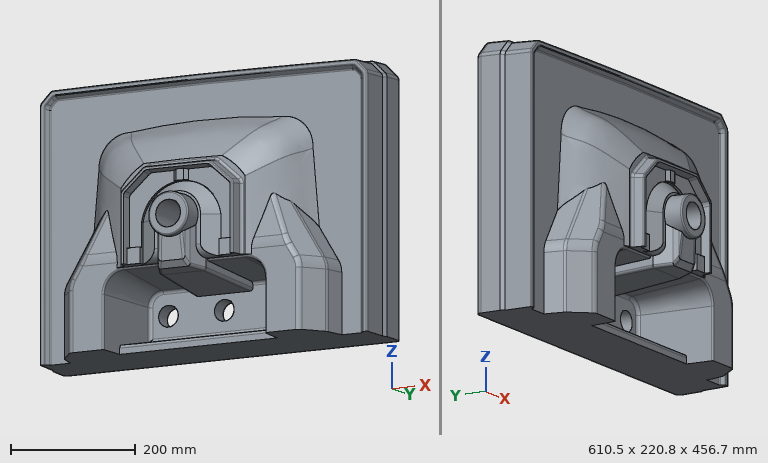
import cadquery as cq
import math


WIDTH = 610.51
HEIGHT = 456.71
TOTAL_DEPTH = 220.8
PAST = 10.0
EMBED = 1.0

RIM_BOW = 2.5
RIM_CORNER = 25.0
RIM_CORNER_RADIUS = 10.0
RIM_EDGE_RADIUS = 9.0
RIM_DRAFT = 0.045
SKIRT_DEPTH = 100.0
RIM_WALL = [
    (0.0, -RIM_DRAFT * RIM_EDGE_RADIUS),
    (45.0, RIM_DRAFT * (45.0 - RIM_EDGE_RADIUS)),
    (52.0, 5.5),
    (SKIRT_DEPTH, 8.0),
]
SKIRT_EDGE_RADIUS = 2.0
PLATE_DEPTH = 92.0
PLATE_INSET = 22.0
SKIRT_INNER_INSET = 16.0
PLATE_EDGE_RADIUS = 3.0

BOWL_DEPTH = 170.0
BOWL_BOTTOM = 131.0
BOWL_FOOT_HALF = 212.0
BOWL_WALL = [(0.0, 0.0), (0.08, 0.08), (0.33, 0.23), (0.63, 0.49), (0.82, 0.74), (1.0, 1.0)]

LEG_FACE_DEPTH = 165.5
LEG_RIDGE_DEPTH = 127.0
LEG_HALF_BASE = 247.0
LEG_HALF_RIDGE = 239.0
LEG_HALF_FACE = 208.0
LEG_BEND_HEIGHT = 113.0
LEG_BEND_RADIUS = 40.0
LEG_TOP = 243.0
LEG_LEAN = 79.0
SLOPE_START = 149.0
SLOPE_RUN = 95.0
SLOPE_FALL = 21.0
SLOPE_RADIUS = 85.0
LEG_EDGE_RADIUS = 12.0

DECK_DEPTH = 30.0
RECESS_HALF_WIDTH = 147.0
RECESS_TOP = 127.5
RECESS_RADIUS = 37.0
RECESS_DRAFT = 5.0
MOUTH_RADIUS = 3.0
LIP_DEPTH = 118.0
LIP_EDGE_HEIGHT = 15.0
LIP_ROOT_HEIGHT = 34.0
LIP_RADIUS = 6.0
TAP_HOLE_RADIUS = 17.7
TAP_HOLE_PITCH = 101.5
TAP_HOLE_HEIGHT = 74.0

FRAME_DEPTH = 191.0
FRAME_HALF_WIDTH = 102.0
FRAME_TOP = 286.0
FRAME_BOTTOM = BOWL_BOTTOM
FRAME_CORNER_X = 42.0
FRAME_CORNER_Z = 37.0
FRAME_WALL = 5.0
FRAME_DRAFT = 0.18
FRAME_CORNER_RADIUS = 10.0
FRAME_FOOT_RADIUS = 5.0
FRAME_EDGE_RADIUS = 2.0
FRAME_FLOOR_DEPTH = 176.0
PAD_HEIGHT = 6.0
PAD_TOP = 158.0
RIB_HEIGHT = 5.0
RIB_HALF_BASE = 13.0
RIB_HALF_TOP = 7.0

DRAIN_HEIGHT = 199.5
DRAIN_BORE_RADIUS = 22.5
DRAIN_ROOT_RADIUS = 38.0
DRAIN_END_RADIUS = 36.0
DRAIN_EDGE_RADIUS = 2.5
MOUND_HALF_WIDTH = 72.0
MOUND_RISE = 61.0
MOUND_TOP_RADIUS = 42.0
MOUND_ROOT_DEPTH = 171.0
MOUND_TOP_DEPTH = 189.0
MOUND_BROW_RADIUS = 20.0
FIN_EDGE_RADIUS = 5.0
FIN_SECTIONS = [
    (DECK_DEPTH, 52.0, 101.0),
    (170.0, 42.0, 111.0),
    (200.0, 29.0, 114.0),
    (208.0, 24.0, 125.0),
    (212.0, 21.0, 171.0),
]


def at_depth(depth):
    """Sketch plane parallel to the rim face, with X to the right, Z up and normal -Y."""
    return cq.Workplane("XZ", origin=(0, -depth, 0))


def nearest(point):
    return cq.selectors.NearestToPointSelector(point)


def loft(wires, ruled):
    return cq.Workplane(obj=cq.Solid.makeLoft(wires, ruled))


def rim_outline(depth, inset, bottom=0.0):
    half = WIDTH / 2 - inset
    top = HEIGHT - inset
    leg = RIM_CORNER - inset * (2 - math.sqrt(2))
    shoulder = top - RIM_BOW
    wire = (
        at_depth(depth)
        .moveTo(-half, bottom)
        .lineTo(-half, shoulder - leg)
        .lineTo(-half + leg, shoulder)
        .threePointArc((0, top), (half - leg, shoulder))
        .lineTo(half, shoulder - leg)
        .lineTo(half, bottom)
        .close()
        .val()
    )
    corners = [v for v in wire.Vertices() if v.Z > bottom + PAST]
    return wire.fillet2D(RIM_CORNER_RADIUS, corners)


def make_rim():
    rim = loft([rim_outline(depth, inset) for depth, inset in RIM_WALL], True)
    rim = rim.faces(">Y").edges("not(<Z)").fillet(RIM_EDGE_RADIUS)
    hollow = loft(
        [
            rim_outline(PLATE_DEPTH, PLATE_INSET, -PAST),
            rim_outline(SKIRT_DEPTH, SKIRT_INNER_INSET, -PAST),
        ],
        True,
    )
    rim = rim.cut(hollow.faces(">Y").edges().fillet(PLATE_EDGE_RADIUS))
    return rim.faces("<Y").edges("not(<Z)").fillet(SKIRT_EDGE_RADIUS)


def bowl_outline(depth, inward):
    """Bowl section, blending from the wide outline at the plate to the one around the frame."""

    def blend(outer, inner):
        return outer + (inner - outer) * inward

    foot_x = blend(BOWL_FOOT_HALF, 113)
    side_x, side_z = blend(196, 113), blend(311, 259)
    top_x, top_z = blend(138, 71), blend(368, 296)
    bend_x, bend_z = blend(182, 94), blend(350, 280)
    crown = blend(376, 297)
    return (
        at_depth(depth)
        .moveTo(-foot_x, BOWL_BOTTOM)
        .lineTo(-side_x, side_z)
        .threePointArc((-bend_x, bend_z), (-top_x, top_z))
        .threePointArc((0, crown), (top_x, top_z))
        .threePointArc((bend_x, bend_z), (side_x, side_z))
        .lineTo(foot_x, BOWL_BOTTOM)
        .close()
        .val()
    )


def make_bowl():
    root = PLATE_DEPTH - EMBED
    height = BOWL_DEPTH - root
    return loft([bowl_outline(root + share * height, inward) for share, inward in BOWL_WALL], False)


def leg_outline(depth, half_width):
    """Left half of the leg block: upright at the bottom, leaning inwards above the bend."""
    wire = (
        at_depth(depth)
        .lineTo(-half_width, 0)
        .lineTo(-half_width, LEG_BEND_HEIGHT)
        .lineTo(-half_width + LEG_LEAN, LEG_TOP)
        .lineTo(0, LEG_TOP)
        .close()
        .val()
    )
    bend = [v for v in wire.Vertices() if abs(v.Z - LEG_BEND_HEIGHT) < 1]
    return wire.fillet2D(LEG_BEND_RADIUS, bend)


def make_leg():
    root = PLATE_DEPTH - EMBED
    leg = loft([leg_outline(root, LEG_HALF_BASE), leg_outline(LEG_RIDGE_DEPTH, LEG_HALF_RIDGE)], True)
    leg = leg.union(
        loft(
            [
                leg_outline(LEG_RIDGE_DEPTH, LEG_HALF_RIDGE),
                leg_outline(LEG_FACE_DEPTH, LEG_HALF_FACE),
            ],
            True,
        )
    )
    slope = (
        cq.Workplane("YZ", origin=(-WIDTH / 2, 0, 0))
        .moveTo(-LEG_FACE_DEPTH, SLOPE_START)
        .lineTo(-LEG_FACE_DEPTH + SLOPE_FALL, SLOPE_START + SLOPE_RUN)
        .lineTo(-LEG_FACE_DEPTH - PAST, SLOPE_START + SLOPE_RUN)
        .lineTo(-LEG_FACE_DEPTH - PAST, SLOPE_START)
        .close()
        .extrude(WIDTH / 2)
    )
    leg = leg.cut(slope)
    slope_line = (-LEG_HALF_FACE / 2, -LEG_FACE_DEPTH, SLOPE_START)
    leg = leg.edges(nearest(slope_line)).fillet(SLOPE_RADIUS)
    for ridge in (
        (-LEG_HALF_RIDGE, -LEG_RIDGE_DEPTH, LEG_BEND_HEIGHT / 2),
        (-LEG_HALF_FACE, -LEG_FACE_DEPTH, LEG_BEND_HEIGHT / 2),
    ):
        leg = leg.edges(nearest(ridge)).fillet(LEG_EDGE_RADIUS)
    return leg


def make_recess():
    """Cutter between the legs: drafted walls, tap deck as floor and the lip left standing."""
    low = -2 * RECESS_RADIUS
    outline = (
        cq.Sketch()
        .rect(2 * RECESS_HALF_WIDTH, RECESS_TOP - low)
        .vertices()
        .fillet(RECESS_RADIUS)
        .moved(cq.Location(cq.Vector(0, (RECESS_TOP + low) / 2, 0)))
    )
    depth = LEG_FACE_DEPTH - DECK_DEPTH
    mouth = at_depth(LEG_FACE_DEPTH).placeSketch(outline)
    pocket = mouth.extrude(-depth, taper=RECESS_DRAFT)
    pocket = pocket.union(mouth.extrude(TOTAL_DEPTH - LEG_FACE_DEPTH))
    lip = (
        cq.Workplane("YZ", origin=(-WIDTH / 2, 0, 0))
        .moveTo(0, low)
        .lineTo(-LIP_DEPTH, low)
        .lineTo(-LIP_DEPTH, LIP_EDGE_HEIGHT)
        .lineTo(-DECK_DEPTH, LIP_ROOT_HEIGHT)
        .lineTo(0, LIP_ROOT_HEIGHT)
        .close()
        .extrude(WIDTH)
        .edges(nearest((0, -LIP_DEPTH, LIP_EDGE_HEIGHT)))
        .fillet(LIP_RADIUS)
    )
    pocket = pocket.cut(lip)
    return pocket.faces(">Y").edges().fillet(LIP_RADIUS)


def frame_outline(depth, inset):
    """Eight-sided arch of the frame, reaching below its open end."""
    half = FRAME_HALF_WIDTH - inset
    top = FRAME_TOP - inset
    corner_x = FRAME_CORNER_X - inset * math.tan(math.pi / 8)
    corner_z = FRAME_CORNER_Z - inset * math.tan(math.pi / 8)
    low = FRAME_BOTTOM - PAST
    wire = (
        at_depth(depth)
        .moveTo(-half, low)
        .lineTo(-half, top - corner_z)
        .lineTo(-half + corner_x, top)
        .lineTo(half - corner_x, top)
        .lineTo(half, top - corner_z)
        .lineTo(half, low)
        .close()
        .val()
    )
    corners = [v for v in wire.Vertices() if v.Z > DRAIN_HEIGHT]
    return wire.fillet2D(FRAME_CORNER_RADIUS, corners)


def above(height):
    """Block holding everything higher than the given height."""
    return cq.Workplane("XY", origin=(0, 0, height)).rect(WIDTH, WIDTH).extrude(HEIGHT)


def make_frame():
    """Solid arch of the frame, widening towards the bowl."""
    spread = (FRAME_DEPTH - BOWL_DEPTH) * FRAME_DRAFT
    arch = loft([frame_outline(BOWL_DEPTH, -spread), frame_outline(FRAME_DEPTH, 0)], True)
    slab = at_depth(BOWL_DEPTH).rect(2 * WIDTH, 2 * HEIGHT).extrude(-PAST)
    foot = cq.selectors.BoxSelector(
        (-WIDTH / 2, -BOWL_DEPTH - EMBED, 0), (WIDTH / 2, -BOWL_DEPTH + EMBED, HEIGHT - PAST)
    )
    arch = arch.union(slab).edges(foot).fillet(FRAME_FOOT_RADIUS).cut(slab)
    arch = arch.intersect(above(FRAME_BOTTOM))
    return arch.faces("<Y").edges("not(<Z)").fillet(FRAME_EDGE_RADIUS)


def make_frame_hollow():
    """Cutter inside the frame, leaving a pad at either side of its open end."""
    shrink = (FRAME_DEPTH - FRAME_FLOOR_DEPTH) * FRAME_DRAFT
    inside = loft(
        [
            frame_outline(FRAME_FLOOR_DEPTH, FRAME_WALL + shrink),
            frame_outline(FRAME_DEPTH, FRAME_WALL),
        ],
        True,
    )
    pads = at_depth(FRAME_FLOOR_DEPTH).rect(WIDTH, 2 * PAD_TOP).extrude(PAD_HEIGHT)
    arch = arch_outline(FRAME_FLOOR_DEPTH, MOUND_HALF_WIDTH, MOUND_RISE)
    pads = pads.cut(cq.Workplane(obj=cq.Solid.extrudeLinear(arch, [], cq.Vector(0, -PAD_HEIGHT, 0))))
    return inside.cut(pads)


def arch_outline(depth, half_width, rise):
    return (
        at_depth(depth)
        .moveTo(-half_width, FRAME_BOTTOM)
        .lineTo(-half_width, DRAIN_HEIGHT)
        .threePointArc((0, DRAIN_HEIGHT + rise), (half_width, DRAIN_HEIGHT))
        .lineTo(half_width, FRAME_BOTTOM)
        .close()
        .val()
    )


def make_mound_pocket():
    """Cutter that sinks the foot of the mound below the frame floor."""
    arch = arch_outline(MOUND_ROOT_DEPTH, MOUND_HALF_WIDTH, MOUND_RISE)
    rise = cq.Vector(0, MOUND_ROOT_DEPTH - FRAME_DEPTH, 0)
    return cq.Workplane(obj=cq.Solid.extrudeLinear(arch, [], rise))


def make_mound():
    mound = loft(
        [
            arch_outline(MOUND_ROOT_DEPTH, MOUND_HALF_WIDTH, MOUND_RISE),
            arch_outline(MOUND_TOP_DEPTH, MOUND_TOP_RADIUS, MOUND_TOP_RADIUS),
        ],
        True,
    )
    return mound.intersect(make_mound_brow())


def make_mound_brow():
    """Extruded profile that rounds the mound off towards the recess."""
    return (
        cq.Workplane("YZ", origin=(-WIDTH / 2, 0, 0))
        .moveTo(-MOUND_ROOT_DEPTH, FRAME_BOTTOM)
        .threePointArc(
            (
                -MOUND_TOP_DEPTH + MOUND_BROW_RADIUS * (1 - math.sqrt(0.5)),
                FRAME_BOTTOM + MOUND_BROW_RADIUS * (1 - math.sqrt(0.5)),
            ),
            (-MOUND_TOP_DEPTH, FRAME_BOTTOM + MOUND_BROW_RADIUS),
        )
        .lineTo(-MOUND_TOP_DEPTH, HEIGHT)
        .lineTo(-MOUND_ROOT_DEPTH, HEIGHT)
        .close()
        .extrude(WIDTH)
    )


def make_rib():
    """Drafted rib joining the mound to the top of the frame."""
    return (
        cq.Workplane("XY", origin=(0, 0, DRAIN_HEIGHT + MOUND_RISE))
        .moveTo(-RIB_HALF_BASE, -FRAME_FLOOR_DEPTH)
        .lineTo(-RIB_HALF_TOP, -FRAME_FLOOR_DEPTH - RIB_HEIGHT)
        .lineTo(RIB_HALF_TOP, -FRAME_FLOOR_DEPTH - RIB_HEIGHT)
        .lineTo(RIB_HALF_BASE, -FRAME_FLOOR_DEPTH)
        .close()
        .extrude(FRAME_TOP - FRAME_WALL - DRAIN_HEIGHT - MOUND_RISE)
    )


def make_spigot():
    root = cq.Wire.makeCircle(
        DRAIN_ROOT_RADIUS, cq.Vector(0, -FRAME_FLOOR_DEPTH, DRAIN_HEIGHT), cq.Vector(0, -1, 0)
    )
    end = cq.Wire.makeCircle(
        DRAIN_END_RADIUS, cq.Vector(0, -TOTAL_DEPTH, DRAIN_HEIGHT), cq.Vector(0, -1, 0)
    )
    return loft([root, end], True).faces("<Y").edges().fillet(DRAIN_EDGE_RADIUS)


def make_fin():
    """Fin below the drain, flaring towards the tap deck."""
    sections = []
    for depth, half_width, bottom in FIN_SECTIONS:
        height = DRAIN_HEIGHT - bottom
        section = at_depth(depth).center(0, bottom + height / 2).rect(2 * half_width, height).val()
        low_corners = [v for v in section.Vertices() if v.Z < bottom + EMBED]
        sections.append(section.fillet2D(FIN_EDGE_RADIUS, low_corners))
    return loft(sections, True)


def make_holes():
    taps = (
        at_depth(0)
        .pushPoints([(i * TAP_HOLE_PITCH, TAP_HOLE_HEIGHT) for i in (-1, 0, 1)])
        .circle(TAP_HOLE_RADIUS)
        .extrude(TOTAL_DEPTH)
    )
    bore = at_depth(0).center(0, DRAIN_HEIGHT).circle(DRAIN_BORE_RADIUS).extrude(TOTAL_DEPTH)
    return taps.union(bore)


def make_body():
    """Rim, bowl and both legs, with the recess and its rounded mouth between the legs."""
    leg = make_leg()
    legs = leg.union(leg.mirror("YZ"))
    body = make_rim().union(make_bowl()).union(legs).cut(make_recess())
    mouth = cq.selectors.BoxSelector(
        (-RECESS_HALF_WIDTH - 1, -LEG_FACE_DEPTH - 1, 1),
        (RECESS_HALF_WIDTH + 1, -LEG_FACE_DEPTH + 1, RECESS_TOP + 1),
    )
    return body.edges(mouth).fillet(MOUTH_RADIUS)


def make_drain_block():
    """Frame with its hollow, and everything that stands inside it."""
    block = make_frame().cut(make_frame_hollow()).cut(make_mound_pocket())
    for feature in (make_mound(), make_rib(), make_spigot(), make_fin()):
        block = block.union(feature)
    return block


result = make_body().union(make_drain_block()).cut(make_holes())